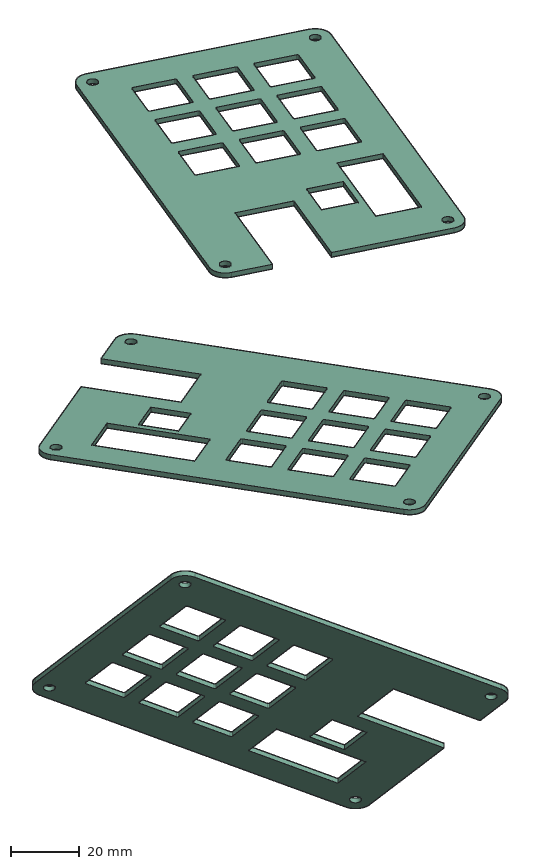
import cadquery as cq

plate_length = 118.6
plate_width = 79.5
plate_thickness = 1.7
corner_radius = 5.0

screw_hole_diameter = 3.4

key_columns = 3
key_rows = 3
key_size = 14.0
key_corner_radius = 0.5
key_grid_span = 38.1
key_pitch = key_grid_span / (key_columns - 1)
key_grid_x = -21.2
key_grid_y = 0.7

display_length = 31.7
display_width = 14.4
display_x = 29.0
display_y = 23.0

window_length = 12.3
window_width = 11.5
window_x = 29.8
window_y = 8.1

notch_inner_x = 28.6
notch_width = 18.4
notch_y = -12.7


def make_plate():
    """Flat plate with rounded vertical corners."""
    plate = cq.Workplane("XY").rect(plate_length, plate_width).extrude(plate_thickness)
    return plate.edges("|Z").fillet(corner_radius)


def cut_screw_holes(plate):
    """One through hole at the centre of each corner arc."""
    spacing_x = plate_length - 2 * corner_radius
    spacing_y = plate_width - 2 * corner_radius
    top_plane = plate.faces(">Z").workplane(origin=(0, 0, 0))
    corners = top_plane.rect(spacing_x, spacing_y, forConstruction=True)
    return corners.vertices().hole(screw_hole_diameter)


def through_box(length, width, x, y):
    """Rectangular cutter spanning the plate thickness, centred at (x, y)."""
    return cq.Workplane("XY").center(x, y).rect(length, width).extrude(plate_thickness)


def key_cutters():
    """Cutters for the whole key grid, each with slightly rounded corners."""
    grid = cq.Workplane("XY").center(key_grid_x, key_grid_y)
    grid = grid.rarray(key_pitch, key_pitch, key_columns, key_rows)
    cutters = grid.rect(key_size, key_size).extrude(plate_thickness)
    return cutters.edges("|Z").fillet(key_corner_radius)


def notch_cutter():
    """Cutter running from the inner end of the notch to the +X edge."""
    notch_outer_x = plate_length / 2
    notch_length = notch_outer_x - notch_inner_x
    notch_x = (notch_outer_x + notch_inner_x) / 2
    return through_box(notch_length, notch_width, notch_x, notch_y)


result = cut_screw_holes(make_plate())
result = result.cut(key_cutters())
result = result.cut(through_box(display_length, display_width, display_x, display_y))
result = result.cut(through_box(window_length, window_width, window_x, window_y))
result = result.cut(notch_cutter())